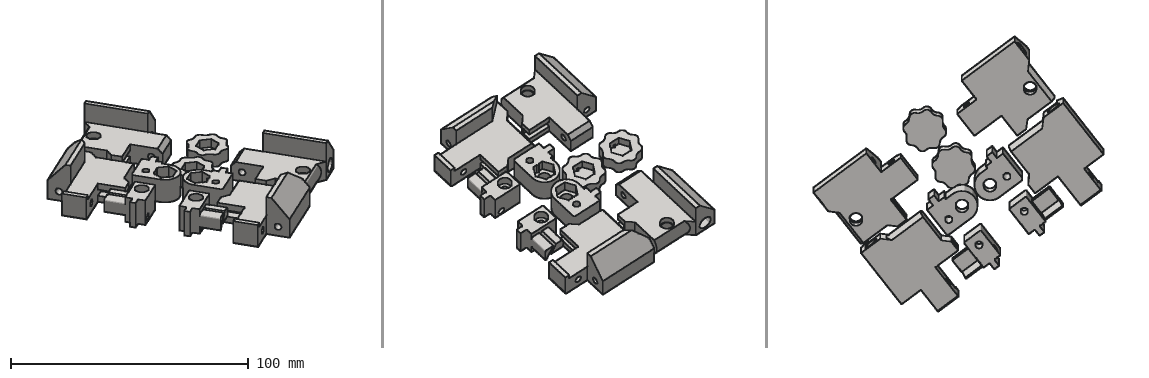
import cadquery as cq
import math

HALF_LENGTH = 53.5
LAYER = 3.0
PLATE_HEIGHT = 3 * LAYER
WALL_HEIGHT = 2 * PLATE_HEIGHT
SCREW_HOLE = 3.0
SCREW_HEIGHT = PLATE_HEIGHT / 2
SCREW_HEAD = 2 * SCREW_HOLE

WALL_LENGTH = 28.0
WALL_WIDTH = 10.3
WALL_SLOPE_WIDTH = 8.0
WALL_SCREW_INSET = 5.1
WALL_SCREW_HEAD_DEPTH = 4.0
EDGE_INSET = 3.4
EDGE_BULGE = 1.7
PLATE_DEPTH = 30.2
NOSE_DEPTH = 33.2
NOSE_START = 16.2
NOSE_CHAMFER = NOSE_DEPTH - PLATE_DEPTH
NOSE_END = 24.0
NOSE_SLOT_DEPTH = 4.0

CLAMP_HOLE_X = 7.2
CLAMP_HOLE_DEPTH = 20.1
CLAMP_HOLE = 5.5
CLAMP_HEAD_DEPTH = LAYER
SIDE_TAB_WIDTH = 12.0
SIDE_TAB_END = 38.3
SIDE_TAB_CHAMFER = 2.1
SIDE_TAB_SCREW = 33.4

END_TAB_WIDTH = 10.8
END_TAB_END = 40.0
END_TAB_SCREW = 33.0
LIP_HEIGHT = 11.0
LIP_WIDTH = 2.1
LIP_CHAMFER = 0.5
MITRE_LENGTH = 8.3
MITRE_START = 3.3

END_JAW_CORNER = (-HALF_LENGTH, END_TAB_END)
LEFT_SIDE_JAW_CORNER = (-HALF_LENGTH, 73.6)
RIGHT_SIDE_JAW_CORNER = (HALF_LENGTH, 73.0)

NUT_FLATS = 8.6
BOLT_HOLE = 5.5
HOLDER_HEIGHT = 11.0
HOLDER_RADIUS = 6.5
HOLDER_CENTER = (-7.4, 30.4)
HOLDER_LEFT = -20.1
HOLDER_SHOULDER = 1.1
HOLDER_SHOULDER_END = -11.0
HOLDER_TAB_WIDTH = 3.0
HOLDER_TAB_LENGTH = 3.2
HOLDER_SCREW = (-15.4, 29.1)
HOLDER_CORNER_RADIUS = 1.1
HOLDER_POCKET_DEPTH = 5.0
CRUSH_RIB_RADIUS = 0.5

KNOB_LOBES = 8
KNOB_HEIGHT = 2 * LAYER
KNOB_TIP_RADIUS = 9.1
KNOB_VALLEY_RADIUS = 7.9
KNOB_POCKET_DEPTH = 4.0
KNOB_RIB_HEIGHT = 1.1
KNOB_CENTERS_Y = (45.9, 65.9)

BLOCK_WIDTH = 9.0
BLOCK_LENGTH = 13.7
BLOCK_HEIGHT = 12.0
BLOCK_LEFT = -16.5
BLOCK_FRONT = 3.6
BLOCK_CORNER_RADIUS = 0.4
TONGUE_WIDTH = 2.6
TONGUE_LENGTH = 3.3
TONGUE_ROOT_RADIUS = 0.3
BLOCK_HOLE_Y = 12.6
BLOCK_HEAD_DEPTH = 4.0
BLOCK_SCREW_Y = 7.1
BLOCK_SCREW_HEIGHT = 2.1
TAIL_LENGTH = 9.2
TAIL_WIDTH = 9.6
TAIL_BOTTOM = 3.2
TAIL_TOP = 9.5
TAIL_ROUND = 1.1
HOOK_BOTTOM = 4.9
SLIT_TOP = 4.3
SLIT_WIDTH = 1.5
SLIT_ANGLE = 30.0


def box(x_range, y_range, z_range):
    """Axis-aligned box between the given limits."""
    (x0, x1), (y0, y1), (z0, z1) = x_range, y_range, z_range
    return cq.Workplane("XY").box(x1 - x0, y1 - y0, z1 - z0, centered=False).translate((x0, y0, z0))


def bore_z(x, y, diameter, z0, z1):
    """Cylinder along Z, used as a cutter."""
    return cq.Workplane("XY", origin=(x, y, z0)).circle(diameter / 2).extrude(z1 - z0)


def bore_x(y, z, diameter, x0, x1):
    """Cylinder along X, used as a cutter."""
    return cq.Workplane("YZ", origin=(x0, y, z)).circle(diameter / 2).extrude(x1 - x0)


def bore_y(x, z, diameter, y0, y1):
    """Cylinder along Y, used as a cutter."""
    return cq.Workplane("XZ", origin=(x, y1, z)).circle(diameter / 2).extrude(y1 - y0)


def mirrored(body):
    """Copy of a body reflected across the plane X = 0."""
    return body.mirror("YZ")


def jaw_wall():
    """Wall with a vertical inner face, a flat crest and a sloping outer face."""
    profile = [
        (0, 0),
        (0, PLATE_HEIGHT),
        (-WALL_SLOPE_WIDTH, WALL_HEIGHT),
        (-WALL_WIDTH, WALL_HEIGHT),
        (-WALL_WIDTH, 0),
    ]
    return cq.Workplane("YZ").polyline(profile).close().extrude(WALL_LENGTH)


def jaw_plate(tab_width, tab_end):
    """Flat plate with a mitred corner, a chamfered nose and a side tab."""
    tab_depth = WALL_WIDTH + tab_width
    outline = [
        (0, -WALL_WIDTH),
        (EDGE_INSET, -WALL_WIDTH - EDGE_INSET),
        (EDGE_INSET, -PLATE_DEPTH),
        (NOSE_START, -PLATE_DEPTH),
        (NOSE_START + NOSE_CHAMFER, -NOSE_DEPTH),
        (NOSE_END, -NOSE_DEPTH),
        (NOSE_END, -tab_depth),
        (tab_end, -tab_depth),
        (tab_end, -WALL_WIDTH),
    ]
    return cq.Workplane("XY").polyline(outline).close().extrude(PLATE_HEIGHT)


def edge_bulge():
    """Convex strip along the mitred edge, trimmed by the line of the mitre."""
    start = -WALL_WIDTH
    strip = (
        cq.Workplane("XZ", origin=(0, start, 0))
        .moveTo(EDGE_INSET, 0)
        .threePointArc((EDGE_INSET - EDGE_BULGE, PLATE_HEIGHT / 2), (EDGE_INSET, PLATE_HEIGHT))
        .close()
        .extrude(PLATE_DEPTH - WALL_WIDTH)
    )
    mitre_side = [
        (0, start),
        (EDGE_INSET, start - EDGE_INSET),
        (EDGE_INSET, -PLATE_DEPTH),
        (0, -PLATE_DEPTH),
    ]
    return strip.intersect(cq.Workplane("XY").polyline(mitre_side).close().extrude(PLATE_HEIGHT))


def jaw(tab_width, tab_end, tab_screw):
    """Features common to all four jaws, in the local frame."""
    tab_depth = WALL_WIDTH + tab_width
    body = jaw_plate(tab_width, tab_end).union(jaw_wall()).union(edge_bulge())
    nose_slot = box(
        (NOSE_END - NOSE_SLOT_DEPTH, NOSE_END),
        (-NOSE_DEPTH, -tab_depth),
        (LAYER, 2 * LAYER),
    )
    wall_screw = bore_x(-WALL_SCREW_INSET, SCREW_HEIGHT, SCREW_HOLE, 0, WALL_LENGTH)
    wall_head = bore_x(-WALL_SCREW_INSET, SCREW_HEIGHT, SCREW_HEAD, 0, WALL_SCREW_HEAD_DEPTH)
    tab_hole = bore_y(tab_screw, SCREW_HEIGHT, SCREW_HOLE, -tab_depth, -WALL_WIDTH)
    return body.cut(nose_slot).cut(wall_screw).cut(wall_head).cut(tab_hole)


def side_jaw():
    """Jaw with a chamfered tab and a counterbored vertical hole."""
    body = jaw(SIDE_TAB_WIDTH, SIDE_TAB_END, SIDE_TAB_SCREW)
    body = body.faces(">X").edges(">Z").chamfer(SIDE_TAB_CHAMFER)
    hole = bore_z(CLAMP_HOLE_X, -CLAMP_HOLE_DEPTH, CLAMP_HOLE, 0, PLATE_HEIGHT)
    head = bore_z(
        CLAMP_HOLE_X, -CLAMP_HOLE_DEPTH, SCREW_HEAD, PLATE_HEIGHT - CLAMP_HEAD_DEPTH, PLATE_HEIGHT
    )
    return body.cut(hole).cut(head)


def end_jaw():
    """Jaw with a lip on its tab and a mitred wall end."""
    body = jaw(END_TAB_WIDTH, END_TAB_END, END_TAB_SCREW)
    lip = box(
        (END_TAB_END - LIP_WIDTH, END_TAB_END),
        (-WALL_WIDTH - END_TAB_WIDTH, -WALL_WIDTH),
        (PLATE_HEIGHT, LIP_HEIGHT),
    )
    wall_mitre = (
        cq.Workplane("XY", origin=(0, 0, PLATE_HEIGHT))
        .polyline([(0, -MITRE_START), (MITRE_LENGTH, -WALL_WIDTH), (0, -WALL_WIDTH)])
        .close()
        .extrude(WALL_HEIGHT - PLATE_HEIGHT)
    )
    body = body.union(lip).cut(wall_mitre)
    return body.faces(">X").edges("<Z").chamfer(LIP_CHAMFER)


def hex_pocket(x, y, z_floor, z_top):
    """Nut pocket with two of its flats facing +X and -X."""
    across_corners = NUT_FLATS / math.cos(math.pi / 6)
    hexagon = cq.Workplane("XY", origin=(x, y, z_floor)).polygon(6, across_corners)
    return hexagon.extrude(z_top - z_floor).rotate((x, y, 0), (x, y, 1), 30)


def nut_holder():
    """Left nut holder: round end with a nut pocket, square end with a tab."""
    x, y = HOLDER_CENTER
    back = y + HOLDER_RADIUS
    shoulder = back + HOLDER_SHOULDER
    heights = (0, HOLDER_HEIGHT)
    body = box((HOLDER_LEFT, x), (y - HOLDER_RADIUS, back), heights)
    body = body.union(box((HOLDER_LEFT, HOLDER_SHOULDER_END), (y, shoulder), heights))
    body = body.edges("|Z and <X and <Y").fillet(HOLDER_CORNER_RADIUS)
    body = body.union(bore_z(x, y, 2 * HOLDER_RADIUS, 0, HOLDER_HEIGHT))

    screw_x, screw_y = HOLDER_SCREW
    tab_sides = (screw_x - HOLDER_TAB_WIDTH / 2, screw_x + HOLDER_TAB_WIDTH / 2)
    body = body.union(box(tab_sides, (back, shoulder + HOLDER_TAB_LENGTH), heights))

    floor = HOLDER_HEIGHT - HOLDER_POCKET_DEPTH
    rib = bore_z(x - NUT_FLATS / 2, y, 2 * CRUSH_RIB_RADIUS, floor, HOLDER_HEIGHT)
    body = body.cut(hex_pocket(x, y, floor, HOLDER_HEIGHT).cut(rib))
    body = body.cut(bore_z(x, y, BOLT_HOLE, 0, HOLDER_HEIGHT))
    return body.cut(bore_z(screw_x, screw_y, SCREW_HOLE, 0, HOLDER_HEIGHT))


def knob(y):
    """Lobed thumb knob with a blind nut pocket, centred on X = 0."""
    quarter = math.pi / (2 * KNOB_LOBES)
    middle_radius = (KNOB_TIP_RADIUS + KNOB_VALLEY_RADIUS) / 2

    def rim_point(radius, quarters):
        return (radius * math.cos(quarters * quarter), radius * math.sin(quarters * quarter))

    rim = cq.Workplane("XY").moveTo(*rim_point(middle_radius, -1))
    for lobe in range(KNOB_LOBES):
        tip = 4 * lobe
        rim = rim.threePointArc(rim_point(KNOB_TIP_RADIUS, tip), rim_point(middle_radius, tip + 1))
        rim = rim.threePointArc(
            rim_point(KNOB_VALLEY_RADIUS, tip + 2), rim_point(middle_radius, tip + 3)
        )
    body = rim.close().extrude(KNOB_HEIGHT)

    floor = KNOB_HEIGHT - KNOB_POCKET_DEPTH
    pocket = hex_pocket(0, 0, floor, KNOB_HEIGHT)
    for side in (-1, 1):
        rib_x = side * NUT_FLATS / 2
        pocket = pocket.cut(bore_z(rib_x, 0, 2 * CRUSH_RIB_RADIUS, floor, floor + KNOB_RIB_HEIGHT))
    return body.cut(pocket).translate((0, y, 0))


def slider_tail():
    """Hooked tail of the left slider: two arms parted by a leaning slit."""
    front = BLOCK_FRONT
    back = front + TAIL_WIDTH
    lean = math.tan(math.radians(SLIT_ANGLE))
    slit_front = front + SLIT_TOP
    slit_back = slit_front + SLIT_WIDTH
    profile = (
        cq.Workplane("YZ", origin=(BLOCK_LEFT - TAIL_LENGTH, 0, 0))
        .moveTo(front, TAIL_BOTTOM)
        .lineTo(front, TAIL_TOP - TAIL_ROUND)
        .radiusArc((front + TAIL_ROUND, TAIL_TOP), TAIL_ROUND)
        .lineTo(slit_front, TAIL_TOP)
        .lineTo(slit_front - lean * (TAIL_TOP - TAIL_BOTTOM), TAIL_BOTTOM)
        .close()
        .moveTo(slit_back, TAIL_TOP)
        .lineTo(back - TAIL_ROUND, TAIL_TOP)
        .radiusArc((back, TAIL_TOP - TAIL_ROUND), TAIL_ROUND)
        .lineTo(back, HOOK_BOTTOM)
        .lineTo(slit_back - lean * (TAIL_TOP - HOOK_BOTTOM), HOOK_BOTTOM)
        .close()
    )
    return profile.extrude(TAIL_LENGTH)


def slider():
    """Left slider: drilled block with a tongue in front and a hooked tail."""
    center_x = BLOCK_LEFT + BLOCK_WIDTH / 2
    right = BLOCK_LEFT + BLOCK_WIDTH
    back = BLOCK_FRONT + BLOCK_LENGTH
    heights = (0, BLOCK_HEIGHT)
    body = box((BLOCK_LEFT, right), (BLOCK_FRONT, back), heights)
    body = body.edges("|Z and >Y").fillet(BLOCK_CORNER_RADIUS)
    tongue_sides = (center_x - TONGUE_WIDTH / 2, center_x + TONGUE_WIDTH / 2)
    body = body.union(box(tongue_sides, (BLOCK_FRONT - TONGUE_LENGTH, BLOCK_FRONT), heights))
    root_corners = cq.selectors.BoxSelector(
        (BLOCK_LEFT + TONGUE_ROOT_RADIUS, BLOCK_FRONT - TONGUE_ROOT_RADIUS, 0),
        (right - TONGUE_ROOT_RADIUS, BLOCK_FRONT + TONGUE_ROOT_RADIUS, BLOCK_HEIGHT),
    )
    body = body.edges("|Z").edges(root_corners).fillet(TONGUE_ROOT_RADIUS)
    body = body.cut(bore_z(center_x, BLOCK_HOLE_Y, SCREW_HOLE, 0, BLOCK_HEIGHT))
    head_floor = BLOCK_HEIGHT - BLOCK_HEAD_DEPTH
    body = body.cut(bore_z(center_x, BLOCK_HOLE_Y, SCREW_HEAD, head_floor, BLOCK_HEIGHT))
    body = body.cut(bore_x(BLOCK_SCREW_Y, BLOCK_SCREW_HEIGHT, SCREW_HOLE, BLOCK_LEFT, right))
    return body.union(slider_tail())


side_jaw_shape = side_jaw()
left_side_jaw = side_jaw_shape.translate((*LEFT_SIDE_JAW_CORNER, 0))
right_side_jaw = mirrored(side_jaw_shape).translate((*RIGHT_SIDE_JAW_CORNER, 0))

end_jaw_x, end_jaw_y = END_JAW_CORNER
right_end_jaw = end_jaw().rotate((0, 0, 0), (0, 0, 1), -90).translate((-end_jaw_x, end_jaw_y, 0))
left_end_jaw = mirrored(right_end_jaw)

left_nut_holder = nut_holder()
right_nut_holder = mirrored(left_nut_holder)
left_slider = slider()
right_slider = mirrored(left_slider)
knobs = [knob(y).val() for y in KNOB_CENTERS_Y]

result = cq.Compound.makeCompound(
    [
        left_side_jaw.val(),
        right_side_jaw.val(),
        left_end_jaw.val(),
        right_end_jaw.val(),
        left_nut_holder.val(),
        right_nut_holder.val(),
        left_slider.val(),
        right_slider.val(),
        *knobs,
    ]
)